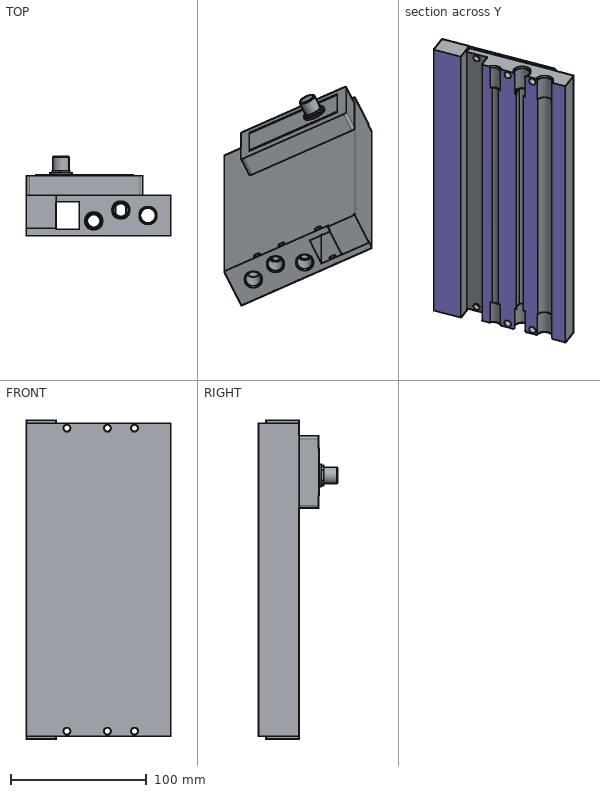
import cadquery as cq

total_height = 235.0
plate_width = 106.7
plate_depth = 30.0
cap_thickness = 2.0
plate_bottom = cap_thickness
plate_top = total_height - cap_thickness
plate_edge_radius = 0.5

cap_width = 22.0
cap_front = 5.6
cap_edge_radius = 0.7

channel_width = 17.0
channel_front = 5.0
channel_back = 25.1

port_spacing = 20.0
first_port_x = 49.8
narrow_port_x = first_port_x
flatted_port_x = first_port_x + port_spacing
wide_port_x = first_port_x + 2 * port_spacing
narrow_port_y = 11.0
flatted_port_y = 19.0
wide_port_y = 15.0
narrow_port_diameter = 9.5
flatted_port_diameter = 9.5
flatted_port_width = 7.5
wide_port_diameter = 11.0
socket_diameter = 11.3
socket_depth = 18.8
mouth_diameter = 13.2
mouth_depth = 1.2

cross_hole_diameter = 5.0
cross_hole_columns = [30.0, 60.0, 80.0]
cross_hole_end_distance = 5.9

housing_width = 86.0
housing_bottom = 170.1
housing_top = 223.7
housing_depth = 14.3
housing_corner_radius = 2.4
housing_back = plate_depth + housing_depth

label_left = 7.3
label_right = 79.0
label_bottom = 179.5
label_top = 214.3
label_thickness = 0.59

connector_x = 25.5
connector_z = 194.3
connector_tip = 58.5
washer_diameter = 16.5
washer_back = 46.5
nut_sides = 6
nut_diameter = 15.0
nut_back = 48.2
barrel_diameter = 12.2
barrel_chamfer = 0.7


def block(x_min, x_max, y_min, y_max, z_min, z_max):
    """Box given by its limits along each axis."""
    size = (x_max - x_min, y_max - y_min, z_max - z_min)
    return cq.Workplane("XY").box(*size, centered=False).translate((x_min, y_min, z_min))


def facing_back(y, x=0, z=0):
    """Workplane at depth y whose normal points toward +Y."""
    return cq.Workplane(cq.Plane(origin=(x, y, z), xDir=(1, 0, 0), normal=(0, 1, 0)))


def make_plate():
    plate = block(0, plate_width, 0, plate_depth, plate_bottom, plate_top)
    plate = plate.edges("|Z").fillet(plate_edge_radius)
    for z_min in (0, plate_top):
        cap = block(0, cap_width, cap_front, plate_depth, z_min, z_min + cap_thickness)
        plate = plate.union(cap.edges("|Z").fillet(cap_edge_radius))
    return plate


def make_port(x, y, diameter, width=None):
    """Through bore with a wider, countersunk socket at each end.

    A width smaller than the diameter leaves flats on the two X sides of the bore.
    """
    plate_height = plate_top - plate_bottom
    port = cq.Workplane("XY").workplane(offset=plate_bottom).circle(diameter / 2).extrude(plate_height)
    if width:
        port = port.intersect(
            block(-width / 2, width / 2, -diameter / 2, diameter / 2, plate_bottom, plate_top)
        )
    socket_profile = [
        (0, plate_top),
        (mouth_diameter / 2, plate_top),
        (socket_diameter / 2, plate_top - mouth_depth),
        (socket_diameter / 2, plate_top - socket_depth),
        (0, plate_top - socket_depth),
    ]
    top_socket = cq.Workplane("XZ").polyline(socket_profile).close().revolve(360, (0, 0), (0, 1))
    bottom_socket = top_socket.mirror("XY", (0, 0, total_height / 2))
    return port.union(top_socket).union(bottom_socket).translate((x, y, 0))


def cut_openings(plate):
    plate = plate.cut(
        block(cap_width, cap_width + channel_width, channel_front, channel_back, 0, total_height)
    )
    plate = plate.cut(make_port(narrow_port_x, narrow_port_y, narrow_port_diameter))
    plate = plate.cut(make_port(flatted_port_x, flatted_port_y, flatted_port_diameter, flatted_port_width))
    plate = plate.cut(make_port(wide_port_x, wide_port_y, wide_port_diameter))
    for x in cross_hole_columns:
        for z in (cross_hole_end_distance, total_height - cross_hole_end_distance):
            plate = plate.cut(facing_back(0, x, z).circle(cross_hole_diameter / 2).extrude(plate_depth))
    return plate


def make_housing():
    housing = block(0, housing_width, plate_depth, housing_back, housing_bottom, housing_top)
    housing = housing.edges("|Y").fillet(housing_corner_radius)
    label_back = housing_back + label_thickness
    return housing.union(block(label_left, label_right, housing_back, label_back, label_bottom, label_top))


def make_connector():
    base = facing_back(housing_back, connector_x, connector_z)
    washer = base.circle(washer_diameter / 2).extrude(washer_back - housing_back)
    nut = base.transformed(rotate=(0, 0, 90)).polygon(nut_sides, nut_diameter).extrude(nut_back - housing_back)
    barrel = base.circle(barrel_diameter / 2).extrude(connector_tip - housing_back)
    barrel = barrel.faces(">Y").chamfer(barrel_chamfer)
    return washer.union(nut).union(barrel)


result = cut_openings(make_plate()).union(make_housing()).union(make_connector())